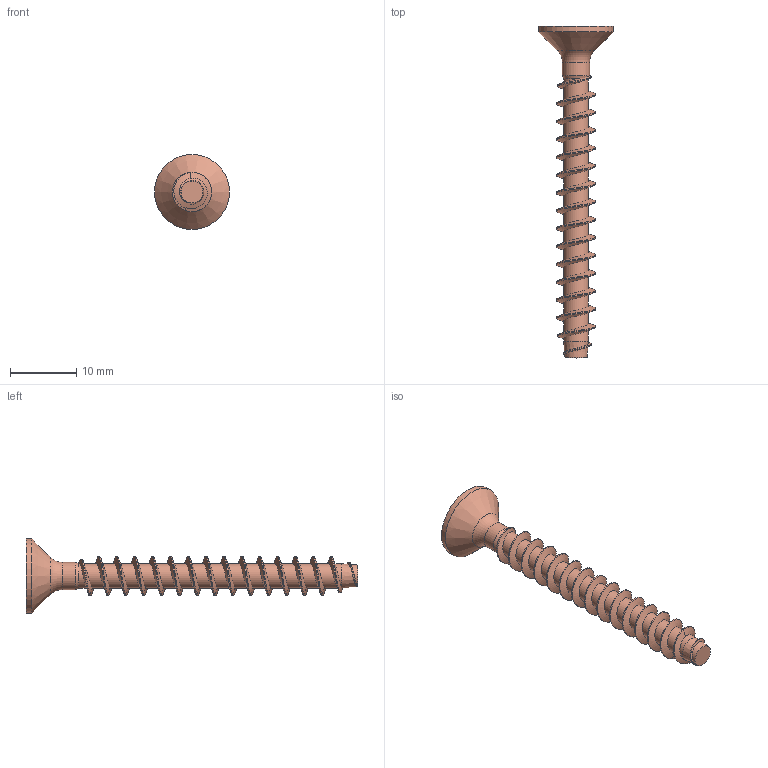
import cadquery as cq
import math

length = 50.0

cone_half_angle = 45.0
head_radius = 5.65
head_rim = 0.85
shank_radius = 2.05
neck_fillet = 2.5

shank_end = 7.45
core_radius = 1.85
step_length = 0.5
tip_taper = 2.5
tip_radius = 1.65

pitch = 2.69
crest_radius = 2.95
crest_width = 0.16
flank_slope = 0.32
root_radius = 1.4
thread_start = 6.9
start_radius = 2.0
full_start = 9.5
full_end = 46.0
thread_end = 49.8
end_radius = 1.70
top_crest_depth = 11.0
points_per_turn = 16


def make_body():
    """Head, neck, shank and core as one revolved profile of (radius, Y) points."""
    cone_angle = math.radians(cone_half_angle)
    neck_depth = head_rim + (head_radius - shank_radius) / math.tan(cone_angle)
    tangent = neck_fillet * math.tan(cone_angle / 2)
    fillet_end = neck_depth + tangent
    fillet_center_radius = shank_radius + neck_fillet

    def fillet_point(angle):
        radius = fillet_center_radius - neck_fillet * math.cos(angle)
        return (radius, -(fillet_end - neck_fillet * math.sin(angle)))

    return (
        cq.Workplane("XY")
        .lineTo(head_radius, 0)
        .lineTo(head_radius, -head_rim)
        .lineTo(*fillet_point(cone_angle))
        .threePointArc(fillet_point(cone_angle / 2), fillet_point(0))
        .lineTo(shank_radius, -shank_end)
        .lineTo(core_radius, -(shank_end + step_length))
        .lineTo(core_radius, -(length - tip_taper))
        .lineTo(tip_radius, -length)
        .lineTo(0, -length)
        .close()
        .revolve(360, (0, 0, 0), (0, 1, 0))
    )


def crest_at(depth):
    """Crest radius along the thread, falling linearly at each end."""
    if depth < full_start:
        share = (depth - thread_start) / (full_start - thread_start)
        return start_radius + share * (crest_radius - start_radius)
    if depth > full_end:
        share = (thread_end - depth) / (thread_end - full_end)
        return end_radius + share * (crest_radius - end_radius)
    return crest_radius


def thread_corners(depth):
    """The four corners of the thread's cross-section centred at the given depth."""
    angle = 2 * math.pi * (depth - top_crest_depth) / pitch
    crest = crest_at(depth)
    half_crest = crest_width / 2
    half_root = half_crest + flank_slope * (crest - root_radius)
    section = [
        (root_radius, -half_root),
        (crest, -half_crest),
        (crest, half_crest),
        (root_radius, half_root),
    ]
    return [
        cq.Vector(-radius * math.sin(angle), -(depth + offset), radius * math.cos(angle))
        for radius, offset in section
    ]


def thread_stretch(first, last):
    """The four helical faces of the thread between two depths."""
    steps = math.ceil(points_per_turn * (last - first) / pitch)
    sections = [thread_corners(first + (last - first) * i / steps) for i in range(steps + 1)]
    helices = [cq.Edge.makeSpline(list(corner_path)) for corner_path in zip(*sections)]
    return [
        cq.Face.makeRuledSurface(helix, next_helix)
        for helix, next_helix in zip(helices, helices[1:] + helices[:1])
    ]


def end_cap(depth):
    """Flat face that closes the thread at one end."""
    return cq.Face.makeFromWires(cq.Wire.makePolygon(thread_corners(depth), close=True))


def make_thread():
    """Thread ridge: fade-in, full-height turns and fade-out joined together."""
    faces = [end_cap(thread_start), end_cap(thread_end)]
    turns = math.floor((full_end - full_start) / pitch)
    turn_starts = [full_start + turn * pitch for turn in range(turns + 1)]
    bounds = [thread_start, *turn_starts, full_end, thread_end]
    for first, last in zip(bounds, bounds[1:]):
        faces += thread_stretch(first, last)
    ridge = cq.Solid.makeSolid(cq.Shell.makeShell(faces))
    return cq.Workplane(ridge.fix())


screw = make_body().union(make_thread())
result = cq.Workplane(screw.solids().val())